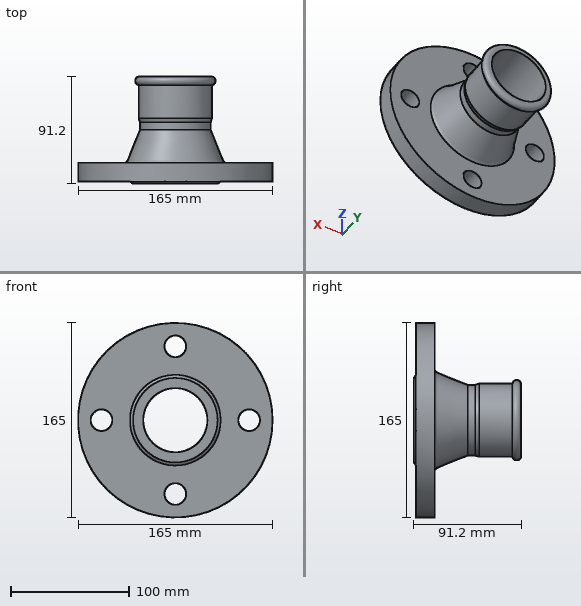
import cadquery as cq

flange_diameter = 165.0
flange_thickness = 16.0
bolt_circle_diameter = 125.0
bolt_hole_diameter = 18.2
bolt_count = 4

face_height = 2.0
face_base_radius = 38.5
face_front_radius = 35.8

bore_diameter = 54.1
flare_radius = 42.0
cone_base_radius = 40.3
neck_radius = 30.0
socket_radius = 31.2
bead_radius = 34.2
bead_end_radius = 30.5

flare_length = 2.5
cone_length = 25.4
neck_length = 6.3
step_length = 3.5
socket_length = 28.0
bead_length = 7.5

flange_front = face_height
flange_back = flange_front + flange_thickness
cone_start = flange_back + flare_length
neck_start = cone_start + cone_length
step_start = neck_start + neck_length
socket_start = step_start + step_length
bead_start = socket_start + socket_length
total_length = bead_start + bead_length


def make_body():
    """Revolve the outer half profile about the Y axis."""
    flange = (
        cq.Workplane("XY")
        .lineTo(face_front_radius, 0)
        .lineTo(face_base_radius, flange_front)
        .lineTo(flange_diameter / 2, flange_front)
        .lineTo(flange_diameter / 2, flange_back)
        .lineTo(0, flange_back)
        .close()
        .revolve(360, (0, 0, 0), (0, 1, 0))
    )
    hub = (
        cq.Workplane("XY")
        .moveTo(0, flange_back)
        .lineTo(0, total_length)
        .lineTo(bead_end_radius, total_length)
        .threePointArc((bead_radius, bead_start + bead_length / 2), (socket_radius, bead_start))
        .lineTo(socket_radius, socket_start)
        .lineTo(neck_radius, step_start)
        .lineTo(neck_radius, neck_start)
        .lineTo(cone_base_radius, cone_start)
        .tangentArcPoint((flare_radius, flange_back), relative=False)
        .close()
        .revolve(360, (0, 0, 0), (0, 1, 0))
    )
    return flange.union(hub)


def make_bolt_holes():
    return (
        cq.Workplane("XZ")
        .polarArray(bolt_circle_diameter / 2, 0, 360, bolt_count)
        .circle(bolt_hole_diameter / 2)
        .extrude(-total_length)
    )


bore = cq.Workplane("XZ").circle(bore_diameter / 2).extrude(-total_length)
result = make_body().cut(bore).cut(make_bolt_holes())